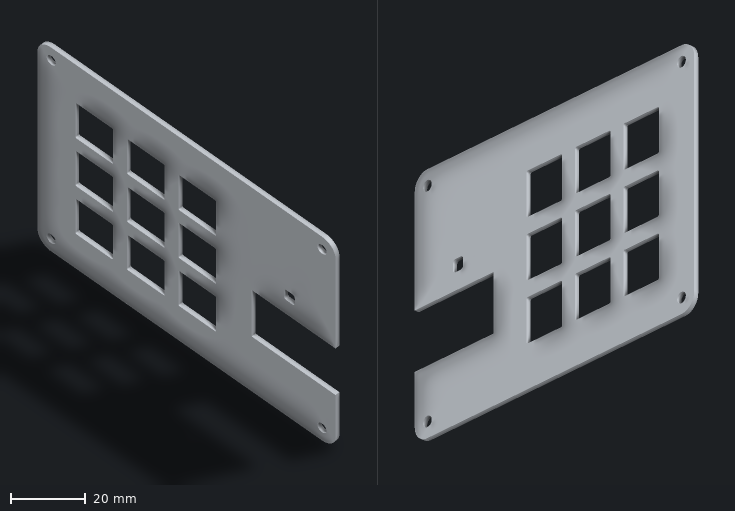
import cadquery as cq

PLATE_LENGTH = 110.0
PLATE_HEIGHT = 81.0
PLATE_THICKNESS = 1.5
CORNER_RADIUS = 5.0

SCREW_HOLE_DIAMETER = 3.4
SCREW_SPACING_X = PLATE_LENGTH - 2 * CORNER_RADIUS
SCREW_SPACING_Z = PLATE_HEIGHT - 2 * CORNER_RADIUS

KEY_COUNT = 3
KEY_PITCH = 19.05
KEY_SIZE = 13.95
KEY_CORNER_RADIUS = 0.5
KEY_GRID_X = -15.075
KEY_GRID_Z = -0.7

WINDOW_SIZE = 4.0
WINDOW_CORNER_RADIUS = 1.0
WINDOW_X = 37.95
WINDOW_Z = 7.35

NOTCH_DEPTH = 31.0
NOTCH_HEIGHT = 18.5
NOTCH_Z = -9.45


def block(length, height):
    """Block of plate thickness, centred on the origin."""
    return cq.Workplane("XY").box(length, PLATE_THICKNESS, height)


def rounded_block(length, height, radius):
    """Block of plate thickness with its four edges along Y rounded."""
    return block(length, height).edges("|Y").fillet(radius)


def cut_screw_holes(plate):
    return (
        plate.faces("<Y")
        .workplane(origin=(0, 0, 0))
        .rect(SCREW_SPACING_X, SCREW_SPACING_Z, forConstruction=True)
        .vertices()
        .hole(SCREW_HOLE_DIAMETER)
    )


def cut_key_openings(plate):
    opening = rounded_block(KEY_SIZE, KEY_SIZE, KEY_CORNER_RADIUS)
    middle = (KEY_COUNT - 1) / 2
    for column in range(KEY_COUNT):
        for row in range(KEY_COUNT):
            x = KEY_GRID_X + (column - middle) * KEY_PITCH
            z = KEY_GRID_Z + (row - middle) * KEY_PITCH
            plate = plate.cut(opening.translate((x, 0, z)))
    return plate


def cut_window(plate):
    window = rounded_block(WINDOW_SIZE, WINDOW_SIZE, WINDOW_CORNER_RADIUS)
    return plate.cut(window.translate((WINDOW_X, 0, WINDOW_Z)))


def cut_notch(plate):
    notch_x = (PLATE_LENGTH - NOTCH_DEPTH) / 2
    return plate.cut(block(NOTCH_DEPTH, NOTCH_HEIGHT).translate((notch_x, 0, NOTCH_Z)))


result = rounded_block(PLATE_LENGTH, PLATE_HEIGHT, CORNER_RADIUS)
result = cut_screw_holes(result)
result = cut_key_openings(result)
result = cut_window(result)
result = cut_notch(result)